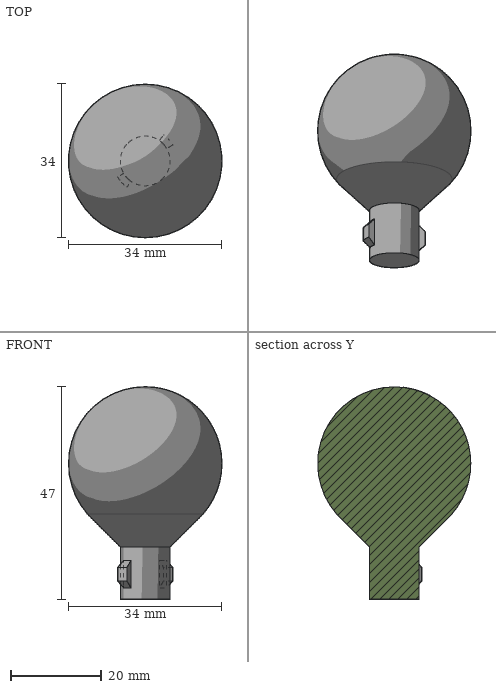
import cadquery as cq
import math

TOTAL_HEIGHT = 47.0
BALL_DIAMETER = 34.0
NECK_DIAMETER = 11.0
NECK_HEIGHT = 11.55
CONE_TOP_HEIGHT = 18.8

LUG_COUNT = 2
LUG_OUTER_RADIUS = 7.05
LUG_MID_HEIGHT = 5.55
LUG_BASE_LENGTH = 6.0
LUG_TIP_LENGTH = 3.0
LUG_START_ANGLE = 30.0
LUG_SWEEP_ANGLE = 25.0
LUG_OVERLAP = 0.95

ball_radius = BALL_DIAMETER / 2
neck_radius = NECK_DIAMETER / 2
ball_center_height = TOTAL_HEIGHT - ball_radius
cone_top_radius = math.sqrt(ball_radius**2 - (ball_center_height - CONE_TOP_HEIGHT)**2)


def make_body():
    """Ball, cone and cylindrical neck, revolved as one profile about Z."""
    return (
        cq.Workplane("XZ")
        .lineTo(neck_radius, 0)
        .lineTo(neck_radius, NECK_HEIGHT)
        .lineTo(cone_top_radius, CONE_TOP_HEIGHT)
        .threePointArc((ball_radius, ball_center_height), (0, TOTAL_HEIGHT))
        .close()
        .revolve(360, (0, 0), (0, 1))
    )


def make_lug(start_angle):
    """Lug with a tapered top and bottom, radial sides and a round outer face."""
    root_radius = neck_radius - LUG_OVERLAP
    base_half = LUG_BASE_LENGTH / 2
    tip_half = LUG_TIP_LENGTH / 2
    return (
        cq.Workplane("XZ", origin=(0, 0, LUG_MID_HEIGHT))
        .moveTo(root_radius, -base_half)
        .lineTo(neck_radius, -base_half)
        .lineTo(LUG_OUTER_RADIUS, -tip_half)
        .lineTo(LUG_OUTER_RADIUS, tip_half)
        .lineTo(neck_radius, base_half)
        .lineTo(root_radius, base_half)
        .close()
        .revolve(LUG_SWEEP_ANGLE, (0, 0), (0, 1))
        .rotate((0, 0, 0), (0, 0, 1), start_angle)
    )


result = make_body()
for index in range(LUG_COUNT):
    result = result.union(make_lug(LUG_START_ANGLE + index * 360 / LUG_COUNT))